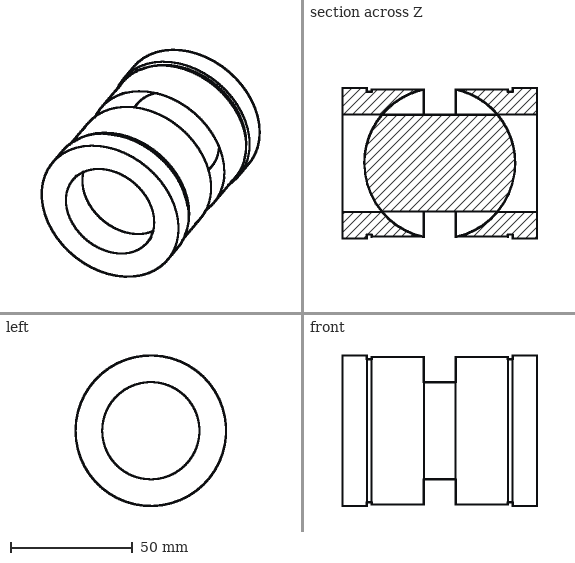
import cadquery as cq
import math

length = 80.0
flange_diameter = 62.0
flange_width = 10.0
relief_diameter = 59.0
relief_width = 2.0
body_diameter = 60.7
gap_width = 13.0
core_diameter = 40.0
contact_width = 0.05

half_length = length / 2
half_gap = gap_width / 2
flange_radius = flange_diameter / 2
relief_radius = relief_diameter / 2
body_radius = body_diameter / 2
core_radius = core_diameter / 2
flange_inner_x = half_length - flange_width
body_outer_x = flange_inner_x - relief_width

cavity_radius = math.hypot(body_radius, half_gap)
cavity_floor_x = math.sqrt(cavity_radius**2 - core_radius**2)

dome_edge_x = cavity_floor_x + contact_width
dome_radius = math.hypot(dome_edge_x, core_radius)

axis_start = (0, 0, 0)
axis_end = (1, 0, 0)


def make_sleeve():
    """Sleeve at the +X end: stepped outside, plain bore and spherical cavity."""
    rim_angle = math.atan2(body_radius, half_gap)
    floor_angle = math.atan2(core_radius, cavity_floor_x)
    mid_angle = (rim_angle + floor_angle) / 2
    cavity_mid = (cavity_radius * math.cos(mid_angle), cavity_radius * math.sin(mid_angle))
    profile = (
        cq.Workplane("XY")
        .moveTo(cavity_floor_x, core_radius)
        .threePointArc(cavity_mid, (half_gap, body_radius))
        .lineTo(body_outer_x, body_radius)
        .lineTo(body_outer_x, relief_radius)
        .lineTo(flange_inner_x, relief_radius)
        .lineTo(flange_inner_x, flange_radius)
        .lineTo(half_length, flange_radius)
        .lineTo(half_length, core_radius)
        .close()
    )
    return profile.revolve(360, axis_start, axis_end)


def make_core():
    """Core pin with a spherical dome at each end."""
    mid_angle = math.atan2(core_radius, dome_edge_x) / 2
    dome_mid_x = dome_radius * math.cos(mid_angle)
    dome_mid_y = dome_radius * math.sin(mid_angle)
    profile = (
        cq.Workplane("XY")
        .moveTo(-dome_radius, 0)
        .threePointArc((-dome_mid_x, dome_mid_y), (-dome_edge_x, core_radius))
        .lineTo(dome_edge_x, core_radius)
        .threePointArc((dome_mid_x, dome_mid_y), (dome_radius, 0))
        .close()
    )
    return profile.revolve(360, axis_start, axis_end)


sleeve = make_sleeve()
result = make_core().union(sleeve).union(sleeve.mirror("YZ"))